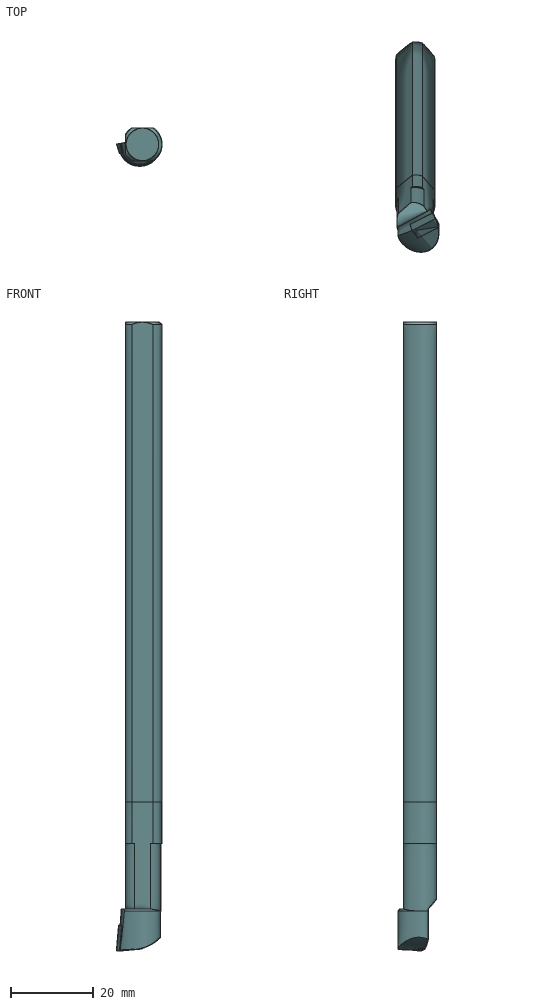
import cadquery as cq
import math


overall_width = 11.07
overall_depth = 9.36

bar_length = 152.86
bar_radius = 4.7625
side_flat_distance = 4.17
cross_flat_distance = 4.03
shank_bottom = 36.2
shank_end_radius = 3.95
shank_chamfer_height = 0.6

neck_radius = 4.49
neck_top = 26.1

head_radius = 5.06
head_x = -0.66
head_y = cross_flat_distance - overall_depth + head_radius
head_top = 10.3
head_chamfer = 0.5

clearance_x = -5.84
clearance_y_slope = 0.2
clearance_z_slope = 0.074

toe_start = (-0.8, 0.5)
toe_middle = (2.0, 1.55)
toe_end = (4.5, 3.5)
heel_bottom = 0.25

rake_angle = 11.0
gullet_ramp_angle = 45
tip_x = bar_radius - overall_width
tip_y = 0.05

insert_circle = 6.35
insert_thickness = 2.38
insert_corner_angle = 80
insert_relief_angle = 7
nose_radius = 0.4

cutter_size = 20.0


def flatted_bar(radius, bottom, top):
    bar = cq.Workplane("XY").workplane(offset=bottom).circle(radius).extrude(top - bottom)
    envelope = (
        cq.Workplane("XY")
        .workplane(offset=bottom)
        .center((radius - side_flat_distance) / 2, 0)
        .rect(radius + side_flat_distance, 2 * cross_flat_distance)
        .extrude(top - bottom)
    )
    return bar.intersect(envelope)


def end_cone():
    """Turned envelope that bevels the free end of the shank."""
    return (
        cq.Workplane("XZ")
        .moveTo(0, shank_bottom)
        .lineTo(bar_radius, shank_bottom)
        .lineTo(bar_radius, bar_length - shank_chamfer_height)
        .lineTo(shank_end_radius, bar_length)
        .lineTo(0, bar_length)
        .close()
        .revolve(360, (0, 0), (0, 1))
    )


def rake_plane():
    """Rake face plane at the cutting tip: local X along the face, local Y up, normal into the head."""
    angle = math.radians(rake_angle)
    along = (math.cos(angle), math.sin(angle), 0)
    inward = (math.sin(angle), -math.cos(angle), 0)
    return cq.Plane(origin=(tip_x, tip_y, 0), xDir=along, normal=inward)


def head_end():
    block = (
        cq.Workplane("XY")
        .center(head_x, head_y)
        .circle(head_radius)
        .extrude(head_top)
        .faces(">Z")
        .chamfer(head_chamfer)
    )
    profile = (
        cq.Workplane("XZ", origin=(0, cutter_size / 2, 0))
        .moveTo(-cutter_size / 2, heel_bottom)
        .lineTo(head_x - head_radius, heel_bottom)
        .lineTo(*toe_start)
        .threePointArc(toe_middle, toe_end)
        .lineTo(toe_end[0], cutter_size)
        .lineTo(-cutter_size / 2, cutter_size)
        .close()
        .extrude(cutter_size)
    )
    return block.intersect(profile).cut(clearance_cutter())


def clearance_cutter():
    plane = cq.Plane(
        origin=(clearance_x, 0, 0),
        xDir=(0, 1, 0),
        normal=(-1, -clearance_y_slope, clearance_z_slope),
    )
    return cq.Workplane(plane).rect(2 * cutter_size, 2 * cutter_size).extrude(cutter_size)


def gullet_cutter():
    """Space in front of the rake face, closed at the top by a ramp through the neck."""
    ramp_height = cutter_size * math.tan(math.radians(gullet_ramp_angle))
    return (
        cq.Workplane("YZ", origin=(-cutter_size, 0, 0))
        .moveTo(0, -cutter_size)
        .lineTo(0, head_top)
        .lineTo(cutter_size, head_top + ramp_height)
        .lineTo(cutter_size, -cutter_size)
        .close()
        .extrude(2 * cutter_size)
        .rotate((0, 0, 0), (0, 0, 1), rake_angle)
        .translate((tip_x, tip_y, 0))
    )


def make_insert():
    corner = math.radians(insert_corner_angle)
    side = insert_circle / math.sin(corner)
    edge_lean = (math.pi / 2 - corner) / 2
    long_step = side * math.cos(edge_lean)
    short_step = side * math.sin(edge_lean)
    start = nose_radius - nose_radius / math.sin(corner / 2) * math.sqrt(0.5)
    outline = (
        cq.Sketch()
        .polygon(
            [
                (start, start),
                (start + long_step, start + short_step),
                (start + long_step + short_step, start + long_step + short_step),
                (start + short_step, start + long_step),
                (start, start),
            ]
        )
        .vertices()
        .fillet(nose_radius)
    )
    return (
        cq.Workplane(rake_plane())
        .placeSketch(outline)
        .extrude(insert_thickness, taper=insert_relief_angle)
    )


shank = flatted_bar(bar_radius, shank_bottom, bar_length).intersect(end_cone())
insert = make_insert()
head = (
    flatted_bar(bar_radius, neck_top, shank_bottom)
    .union(flatted_bar(neck_radius, head_top - head_chamfer, neck_top))
    .union(head_end())
    .cut(gullet_cutter())
    .cut(insert)
)

result = cq.Compound.makeCompound([shank.val(), head.solids().val(), insert.val()])